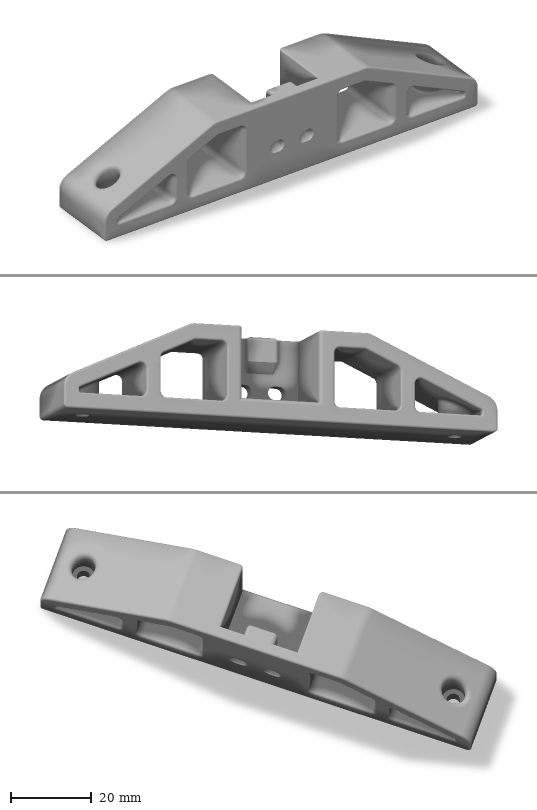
import cadquery as cq
import math

width = 20.0
length = 113.0
height = 23.05
half_width = width / 2
half_length = length / 2

flat_top_half = 23.1
end_height = 7.9
shoulder_radius = 4.0
end_bottom_radius = 1.0
slope_angle = math.atan2(height - end_height, half_length - flat_top_half)
slope = math.tan(slope_angle)

edge_radius = 0.5

wall = 4.0
big_window_inner_y = 14.0
big_window_outer_y = 31.25
small_window_inner_y = 35.0
window_radius = 1.5
tip_radius = 0.5

pocket_half_length = 10.05
pocket_floor = 5.0
pocket_back_x = 7.0
pocket_mouth_radius = 1.0

catch_half_length = 4.0
catch_face_x = 4.0
catch_root_z = 14.3
catch_face_z = 16.8
catch_radius = 1.0

slot_diameter = 3.4
slot_length = 4.5
slot_y = 4.45
slot_z = 9.65

hole_y = 48.5
hole_diameter = 3.4
counterbore_diameter = 5.8
counterbore_floor = wall
counterbore_mouth_radius = 1.1
boss_diameter = 8.3
boss_flare_radius = 0.7

tolerance = 0.01


def roof_z(y):
    """Height of the sloped window roof, one wall thickness under the shoulder."""
    return end_height + slope * (half_length - y) - wall / math.cos(slope_angle)


def extrude_across(points):
    """Prism over the full width from an outline of (y, z) points."""
    return cq.Workplane("YZ").workplane(offset=-half_width).polyline(points).close().extrude(width)


def make_body():
    body = extrude_across([
        (-half_length, 0),
        (half_length, 0),
        (half_length, end_height),
        (flat_top_half, height),
        (-flat_top_half, height),
        (-half_length, end_height),
    ])
    body = body.edges("|X and (not <Z)").fillet(shoulder_radius)
    return body.edges("|X and <Z").fillet(end_bottom_radius)


def make_big_window():
    roof_kink_y = flat_top_half - wall * math.tan(slope_angle / 2)
    window = extrude_across([
        (big_window_inner_y, wall),
        (big_window_outer_y, wall),
        (big_window_outer_y, roof_z(big_window_outer_y)),
        (roof_kink_y, height - wall),
        (big_window_inner_y, height - wall),
    ])
    return window.edges("|X").fillet(window_radius)


def make_small_window():
    tip_y = half_length - wall
    window = extrude_across([
        (small_window_inner_y, wall),
        (tip_y, wall),
        (tip_y, roof_z(tip_y)),
        (small_window_inner_y, roof_z(small_window_inner_y)),
    ])
    window = window.edges("|X and <Y").fillet(window_radius)
    return window.edges("|X and >Y").fillet(tip_radius)


def make_pocket():
    size_x = pocket_back_x + half_width
    return cq.Workplane("XY").box(
        size_x, 2 * pocket_half_length, height - pocket_floor, centered=(False, True, False)
    ).translate((-half_width, 0, pocket_floor))


def make_catch():
    """Catch with a sloped underside, rooted in the back wall of the pocket."""
    underside_slope = (catch_face_z - catch_root_z) / (pocket_back_x - catch_face_x)
    root_x = pocket_back_x + edge_radius
    root_z = catch_root_z - underside_slope * edge_radius
    catch = (
        cq.Workplane("XZ").workplane(offset=-catch_half_length)
        .polyline([
            (root_x, root_z),
            (catch_face_x, catch_face_z),
            (catch_face_x, height),
            (root_x, height),
        ]).close().extrude(2 * catch_half_length)
    )
    catch = catch.edges("not (|Y or >X or >Z)").fillet(catch_radius)
    return catch.faces(">Z").edges("not >X").fillet(catch_radius)


def make_slots():
    return (
        cq.Workplane("YZ").workplane(offset=catch_face_x)
        .pushPoints([(-slot_y, slot_z), (slot_y, slot_z)])
        .slot2D(slot_length, slot_diameter).extrude(width)
    )


def round_pocket_mouth(body):
    """Round the three pocket edges on the open -X side."""
    mouth = cq.selectors.BoxSelector(
        (-half_width - tolerance, -pocket_half_length - tolerance, pocket_floor - tolerance),
        (-half_width + tolerance, pocket_half_length + tolerance, height - tolerance),
    )
    return body.edges(mouth).fillet(pocket_mouth_radius)


def round_outer_edges(body):
    """Round the pocket rim, which runs on along the -X outline, then every edge of the +X face."""
    rim = cq.selectors.BoxSelector(
        (-half_width + pocket_mouth_radius, -pocket_half_length - tolerance, height - tolerance),
        (pocket_back_x + tolerance, pocket_half_length + tolerance, height + tolerance),
    )
    body = body.edges(rim).fillet(edge_radius)
    return body.faces(">X").edges().fillet(edge_radius)


def round_windows(body):
    """Round the window edges on the -X side."""
    return body.faces("<X").edges(cq.selectors.BoxSelector(
        (-half_width - tolerance, -half_length, wall - tolerance),
        (-half_width + tolerance, half_length, height - wall + tolerance),
    )).fillet(edge_radius)


def make_boss_foot():
    """Concave flare where the screw boss meets the window floor."""
    boss_radius = boss_diameter / 2
    foot_top = wall + boss_flare_radius
    return (
        cq.Workplane("XZ")
        .moveTo(0, wall)
        .lineTo(boss_radius + boss_flare_radius, wall)
        .radiusArc((boss_radius, foot_top), boss_flare_radius)
        .lineTo(0, foot_top)
        .close().revolve(360, (0, 0, 0), (0, 1, 0))
        .translate((0, hole_y, 0))
    )


def make_boss():
    """Screw boss flared into the window floor and into the sloped window roof."""
    slab_reach = boss_diameter / 2 + 2 * boss_flare_radius
    slab_thickness = wall / 2
    inner_y = hole_y - slab_reach
    outer_y = hole_y + slab_reach
    roof_slab = (
        cq.Workplane("YZ").workplane(offset=-slab_reach)
        .polyline([
            (inner_y, roof_z(inner_y)),
            (outer_y, roof_z(outer_y)),
            (outer_y, roof_z(outer_y) + slab_thickness),
            (inner_y, roof_z(inner_y) + slab_thickness),
        ]).close().extrude(2 * slab_reach)
    )
    post_top = roof_z(hole_y - boss_diameter / 2) + tolerance
    post = (
        cq.Workplane("XY").workplane(offset=wall).center(0, hole_y)
        .circle(boss_diameter / 2).extrude(post_top - wall)
    )
    boss = roof_slab.union(post).edges("%ELLIPSE").edges("<Z").fillet(boss_flare_radius)
    return boss.union(make_boss_foot())


def cut_screw_hole(body, y):
    """Cut a counterbored vertical hole and round its mouth on the sloped shoulder."""
    through = cq.Workplane("XY").center(0, y).circle(hole_diameter / 2).extrude(height)
    counterbore = (
        cq.Workplane("XY").workplane(offset=counterbore_floor).center(0, y)
        .circle(counterbore_diameter / 2).extrude(height)
    )
    mouth_z = end_height + slope * (half_length - abs(y))
    reach = counterbore_diameter / 2 + tolerance
    mouth = cq.selectors.BoxSelector(
        (-reach, y - reach, mouth_z - reach),
        (reach, y + reach, mouth_z + reach),
        boundingbox=True,
    )
    body = body.cut(through).cut(counterbore)
    return body.edges(mouth).edges("%ELLIPSE").fillet(counterbore_mouth_radius)


body = make_body()
for window in (make_big_window(), make_small_window()):
    body = body.cut(window).cut(window.mirror("XZ"))
body = body.cut(make_pocket())
body = round_pocket_mouth(body)
body = round_outer_edges(body)
body = round_windows(body)
body = body.union(make_catch()).cut(make_slots())
boss = make_boss()
body = body.union(boss).union(boss.mirror("XZ"))
for side in (-1, 1):
    body = cut_screw_hole(body, side * hole_y)
result = body